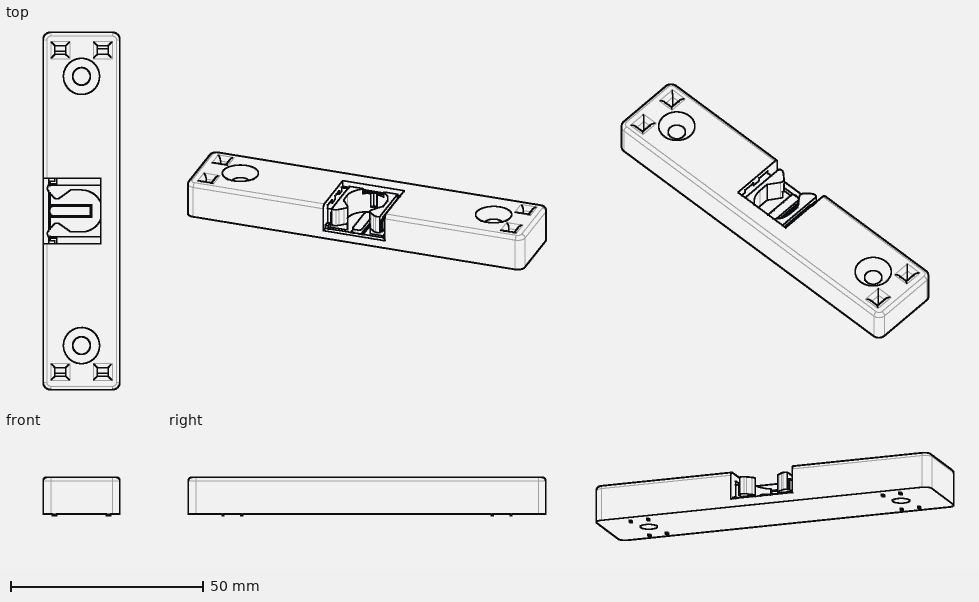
import cadquery as cq
import math

WIDTH = 20.0
LENGTH = 93.0
TOTAL_HEIGHT = 10.0
FOOT_HEIGHT = 0.4
TOP = TOTAL_HEIGHT - FOOT_HEIGHT
CORNER_RADIUS = 2.0
RIM_RADIUS = 0.95
FRONT_X = -WIDTH / 2

SCREW_Y = 35.0
SCREW_DIAMETER = 4.5
COUNTERSINK_DIAMETER = 9.4
COUNTERSINK_ANGLE = 90.0

FOOT_X = 7.0
FOOT_OFFSET_Y = 2.45
FOOT_WIDTH = 1.1
FOOT_THICKNESS = 0.5

WINDOW_X = 5.5
WINDOW_Y = 41.85
WINDOW_WIDTH = 2.8
WINDOW_LENGTH = 2.25
WINDOW_FLARE = 1.1
WINDOW_DEPTH = 5.0
WINDOW_STEP = 0.5
WINDOW_STEP_OFFSET = 0.3
WINDOWS = (
    (-1, 1, -WINDOW_STEP_OFFSET),
    (1, 1, WINDOW_STEP_OFFSET),
    (-1, -1, WINDOW_STEP_OFFSET),
    (1, -1, WINDOW_STEP_OFFSET),
)

POCKET_BACK_X = 5.0
POCKET_LENGTH = 17.0
POCKET_DEPTH = 8.0
POCKET_FLOOR = TOP - POCKET_DEPTH
LIP_TOP = TOP - 7.4
LIP_BACK_X = -8.5
LIP_FOOT_X = -8.1
POCKET_SIDE_Y = POCKET_LENGTH / 2

UNDERCUT_REACH = 1.0
UNDERCUT_TOP = TOP - 1.65
SHELF_TOP = TOP - 2.65
TAB_LENGTH = 2.2
TAB_CENTERS_X = (-2.0, 3.3)

SHELF_FRONT_X = -6.4
ARM_TOP = TOP - 1.35
ARM_BOTTOM = TOP - 6.0
ARM_SIDE_Y = 6.65
LEDGE_FRONT_X = -8.0
LEDGE_SIDE_Y = 7.1
LEDGE_TOP = SHELF_TOP - 0.3
CORNER_BLOCK_INNER_Y = 7.7
CORNER_BLOCK_BACK_X = -6.9
CORNER_BLOCK_TOP = TOP - 6.55
BACK_NOTCH_HALF_WIDTH = 2.9
BACK_NOTCH_FRONT_X = 4.6

KEYHOLE_RADIUS = 5.46
LOBE_START_X = -2.8
NOSE_X = -6.35
NOSE_Y = 3.15
NOSE_INNER_X = -5.6
NOSE_OUTER_X = -7.4
NOSE_INNER_Y = 3.45
NOSE_OUTER_Y = 3.75
ARM_FRONT_X = -8.6
ARM_TIP_X = -8.85
ARM_TIP_Y = 6.1
ARM_CORNER_X = -8.8
ARM_CORNER_Y = 5.45
ARM_MOUTH_X = -8.4
ARM_MOUTH_Y = 4.8

KEY_NOTCH_MOUTH = 2.0
KEY_NOTCH_FRONT_X = 5.3
KEY_NOTCH_ROOT = 0.8
KEY_NOTCH_BACK_X = 6.2
KEY_NOTCH_BOTTOM = TOP - 6.55

TONGUE_FRONT_X = -8.2
TONGUE_END_X = 2.3
TONGUE_WIDTH = 2.5
TONGUE_TOP = TOP - 6.55
TONGUE_FRONT_RADIUS = 0.8
PLINTH_MARGIN = 0.35
PLINTH_TOP = POCKET_FLOOR + 0.3


def box(x_min, x_max, y_min, y_max, z_min, z_max):
    """Axis-aligned block between the given limits."""
    size = (x_max - x_min, y_max - y_min, z_max - z_min)
    return cq.Workplane("XY").box(*size, centered=False).translate((x_min, y_min, z_min))


def make_body():
    body = cq.Workplane("XY").box(WIDTH, LENGTH, TOP, centered=(True, True, False))
    return body.edges("|Z").fillet(CORNER_RADIUS).faces(">Z").edges().fillet(RIM_RADIUS)


def cut_screw_holes(body):
    return (
        body.faces(">Z")
        .workplane(origin=(0, 0, TOP))
        .pushPoints([(0, -SCREW_Y), (0, SCREW_Y)])
        .cskHole(SCREW_DIAMETER, COUNTERSINK_DIAMETER, COUNTERSINK_ANGLE)
    )


def make_foot(x, y):
    return box(
        x - FOOT_WIDTH / 2, x + FOOT_WIDTH / 2,
        y - FOOT_THICKNESS / 2, y + FOOT_THICKNESS / 2,
        -FOOT_HEIGHT, FOOT_HEIGHT,
    )


def add_feet(body):
    for x in (-FOOT_X, FOOT_X):
        for screw_y in (-SCREW_Y, SCREW_Y):
            for offset in (-FOOT_OFFSET_Y, FOOT_OFFSET_Y):
                body = body.union(make_foot(x, screw_y + offset))
    return body


def make_window_flare():
    """Bell mouth: a block at the top minus four convex rounded lips."""
    half_x = WINDOW_WIDTH / 2 + WINDOW_FLARE
    half_y = WINDOW_LENGTH / 2 + WINDOW_FLARE
    flare_bottom = TOP - WINDOW_FLARE
    flare = box(-half_x, half_x, -half_y, half_y, flare_bottom, TOP)
    for side in (-1, 1):
        lip_x = cq.Workplane("XZ").center(side * half_x, flare_bottom).circle(WINDOW_FLARE)
        lip_y = cq.Workplane("YZ").center(side * half_y, flare_bottom).circle(WINDOW_FLARE)
        flare = flare.cut(lip_x.extrude(half_y, both=True))
        flare = flare.cut(lip_y.extrude(half_x, both=True))
    return flare


def make_window(step_offset):
    """Flared window with the outer (+Y) part of its floor one step deeper."""
    half_x = WINDOW_WIDTH / 2
    half_y = WINDOW_LENGTH / 2
    floor = TOP - WINDOW_DEPTH
    shaft = box(-half_x, half_x, -half_y, half_y, floor, TOP)
    deep_part = box(-half_x, half_x, step_offset, half_y, floor - WINDOW_STEP, TOP)
    return shaft.union(deep_part).union(make_window_flare())


def cut_windows(body):
    for side_x, side_y, step_offset in WINDOWS:
        window = make_window(step_offset)
        if side_y < 0:
            window = window.mirror("XZ")
        body = body.cut(window.translate((side_x * WINDOW_X, side_y * WINDOW_Y, 0)))
    return body


def cut_pocket(body):
    side = POCKET_SIDE_Y
    profile = [
        (FRONT_X, TOP),
        (FRONT_X, LIP_TOP),
        (LIP_BACK_X, LIP_TOP),
        (LIP_FOOT_X, POCKET_FLOOR),
        (POCKET_BACK_X, POCKET_FLOOR),
        (POCKET_BACK_X, TOP),
    ]
    body = body.cut(cq.Workplane("XZ").polyline(profile).close().extrude(side, both=True))
    undercut_side = side + UNDERCUT_REACH
    undercut = box(
        SHELF_FRONT_X, POCKET_BACK_X + UNDERCUT_REACH,
        -undercut_side, undercut_side,
        SHELF_TOP, UNDERCUT_TOP,
    )
    for x in TAB_CENTERS_X:
        x_min = x - TAB_LENGTH / 2
        x_max = x + TAB_LENGTH / 2
        undercut = undercut.cut(box(x_min, x_max, side, undercut_side, SHELF_TOP, UNDERCUT_TOP))
        undercut = undercut.cut(box(x_min, x_max, -undercut_side, -side, SHELF_TOP, UNDERCUT_TOP))
    return body.cut(undercut)


def trace_inner_flank(outline, side):
    """From the outer end of the nose, round the nose, to the start of the keyhole circle."""
    return (
        outline.threePointArc((NOSE_X, side * NOSE_Y), (NOSE_INNER_X, side * NOSE_INNER_Y))
        .lineTo(LOBE_START_X, side * KEYHOLE_RADIUS)
        .lineTo(0, side * KEYHOLE_RADIUS)
    )


def make_arm(side):
    """Raised arm on one side of the keyhole, with a rounded tip overhanging the floor."""
    outline = (
        cq.Workplane("XY", origin=(0, 0, ARM_BOTTOM))
        .moveTo(ARM_FRONT_X, side * ARM_SIDE_Y)
        .threePointArc((ARM_TIP_X, side * ARM_TIP_Y), (ARM_CORNER_X, side * ARM_CORNER_Y))
        .lineTo(ARM_MOUTH_X, side * ARM_MOUTH_Y)
        .lineTo(NOSE_OUTER_X, side * NOSE_OUTER_Y)
    )
    outline = trace_inner_flank(outline, side).lineTo(0, 0).lineTo(POCKET_BACK_X, 0)
    outline = outline.lineTo(POCKET_BACK_X, side * ARM_SIDE_Y).close()
    return outline.extrude(ARM_TOP - ARM_BOTTOM)


def make_keyhole():
    """Keyhole cutter: the mouth between the noses and the round lobe below the pocket back."""
    diagonal = KEYHOLE_RADIUS * math.cos(math.pi / 4)
    half = cq.Workplane("XY", origin=(0, 0, POCKET_FLOOR)).moveTo(NOSE_OUTER_X, NOSE_OUTER_Y)
    half = trace_inner_flank(half, 1).threePointArc((diagonal, diagonal), (KEYHOLE_RADIUS, 0))
    half = half.lineTo(NOSE_OUTER_X, 0).close().extrude(TOP - POCKET_FLOOR)
    keyhole = half.union(half.mirror("XZ"))
    rim = box(POCKET_BACK_X, WIDTH / 2, -KEYHOLE_RADIUS, KEYHOLE_RADIUS, SHELF_TOP, TOP)
    return keyhole.cut(rim)


def make_key_notch():
    return (
        cq.Workplane("XY", origin=(0, 0, KEY_NOTCH_BOTTOM))
        .moveTo(KEY_NOTCH_FRONT_X, -KEY_NOTCH_MOUTH / 2)
        .lineTo(KEY_NOTCH_BACK_X, -KEY_NOTCH_ROOT / 2)
        .lineTo(KEY_NOTCH_BACK_X, KEY_NOTCH_ROOT / 2)
        .lineTo(KEY_NOTCH_FRONT_X, KEY_NOTCH_MOUTH / 2)
        .close()
        .extrude(SHELF_TOP - KEY_NOTCH_BOTTOM)
    )


def make_ledge():
    """Narrow ledge beside the front of the +Y arm."""
    return box(LEDGE_FRONT_X, SHELF_FRONT_X, ARM_SIDE_Y, LEDGE_SIDE_Y, ARM_BOTTOM, LEDGE_TOP)


def make_insert():
    side = POCKET_SIDE_Y
    back = POCKET_BACK_X
    insert = box(SHELF_FRONT_X, back, -side, side, POCKET_FLOOR, SHELF_TOP)
    insert = insert.union(make_arm(1)).union(make_arm(-1))
    insert = insert.union(make_ledge()).union(make_ledge().mirror("XZ"))
    notch_side = BACK_NOTCH_HALF_WIDTH
    return insert.cut(box(BACK_NOTCH_FRONT_X, back, -notch_side, notch_side, SHELF_TOP, ARM_TOP))


def make_corner_block():
    """Low block in the front corner of the pocket on the +Y side."""
    return box(
        LIP_BACK_X, CORNER_BLOCK_BACK_X,
        CORNER_BLOCK_INNER_Y, POCKET_SIDE_Y,
        POCKET_FLOOR, CORNER_BLOCK_TOP,
    )


def make_tongue():
    """Upright tongue with rounded front corners, on a plinth that is wider and longer."""
    half_width = TONGUE_WIDTH / 2
    half_plinth = half_width + PLINTH_MARGIN
    plinth_end = TONGUE_END_X + PLINTH_MARGIN
    tongue = box(TONGUE_FRONT_X, TONGUE_END_X, -half_width, half_width, POCKET_FLOOR, TONGUE_TOP)
    tongue = tongue.edges("|Z and <X").fillet(TONGUE_FRONT_RADIUS)
    plinth = box(LIP_FOOT_X, plinth_end, -half_plinth, half_plinth, POCKET_FLOOR, PLINTH_TOP)
    return tongue.union(plinth)


def add_latch(body):
    body = body.union(make_insert()).cut(make_keyhole()).cut(make_key_notch())
    corner_block = make_corner_block()
    return body.union(corner_block).union(corner_block.mirror("XZ")).union(make_tongue())


result = add_latch(cut_pocket(cut_windows(add_feet(cut_screw_holes(make_body())))))